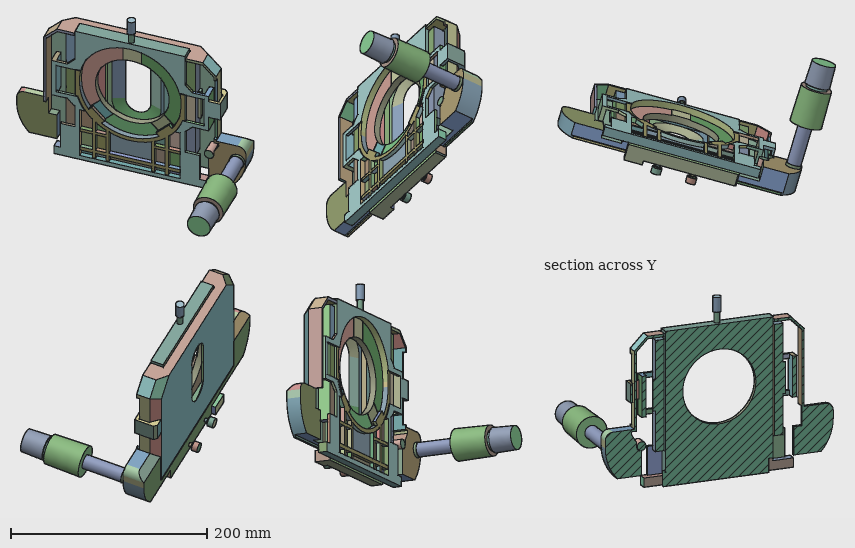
import cadquery as cq
import math


bevel_start = 15.0
body_depth = 24.5
ear_depth = 23.6
floor_depth = 15.8

body_half_width = 93.8
body_top = 65.0
corner_cut = 14.5
side_bevel = 8.0
side_wall = 2.5
top_wall = 3.5
cavity_bottom = -85.0
body_bottom = -87.3
pad_bottom = -78.2
lip_depth = 2.3
right_wall_drop = 3.5
right_wall_drop_top = 45.0
right_wall_drop_bottom = -31.5

ear_half_span = 126.0
ear_top = -33.5
ear_corner_radius = 8.5
ear_arc_radius = 50.7
ear_arc_top = -50.5
ear_bevel = ear_depth - bevel_start
left_ear_front = 7.8
left_ear_inner = -82.0
left_ear_step = -54.0
right_ear_inner = 85.5
notch_width = 5.2
notch_top = -36.5
notch_shoulder = -39.5
notch_bottom = -47.8

guide_outer = 70.5
guide_front = 2.9
guide_top = 59.2
guide_bottom = -61.3
guide_rib_width = 2.9
guide_rib_front = 10.5

carriage_half_width = 59.8
carriage_rise = 2.5
carriage_top = body_top + carriage_rise
carriage_depth = 13.8
carriage_gap = 0.8
flange_depth = guide_front
foot_half_width = 82.5
foot_bottom = -98.5
foot_top = -88.3
foot_depth = 9.4
shoulder_half_width = 75.5
shoulder_top = -57.2

arm_reach = 85.5
arm_half_height = 22.3
arm_gusset = 8.3
leg_width = 5.0
rail_height = 5.2
window_reach = arm_reach - leg_width
window_half_height = arm_half_height - rail_height

bore_radius = 40.0
seat_radius = 55.0
seat_rise = 5.5
seat_depth = 7.0
band_depth = 6.5
band_width = 20.0
band_angles = (0, 135, -135)
tab_reach = 49.4
tabbed_angles = (135, -135)
lip_radius = 59.5
recess_depth = 1.0
tab_depth = 4.7

panel_half_width = 54.5
panel_top = -33.8
panel_bottom = -93.3
pocket_depth = 5.5
centre_pocket_half_width = 23.0
side_columns = [(26.5, 37.7), (41.3, panel_half_width)]
upper_row = (-59.0, panel_top)
middle_row = (-82.5, -62.4)
lower_row = (panel_bottom, -86.8)

channel_half_width = 31.7
channel_half_height = 52.0
channel_depth = 19.5
slot_half_length = 25.7
slot_front_radius = 26.8
slot_back_radius = 13.5

clamp_left = -54.5
clamp_right = 63.0
clamp_front = 11.0
clamp_top = -88.0
clamp_bottom = -100.0
clamp_chamfer = 1.3
clamp_lip = 2.5
clamp_overlap = 2.5
clamp_boss_right = -35.0
clamp_boss_back = 28.0
screw_places = (-19.2, 17.7)
screw_z = -93.3
screw_radius = 5.2
screw_back = 34.5
washer_radius = 3.6
washer_thickness = 1.3
shaft_radius = 2.0

hook_top = 15.8
hook_bottom = -4.7
hook_outer = 98.2
hook_thickness = 2.9
hook_chamfer = 3.5

pin_y = 4.5
pin_radius = 4.5
pin_neck_radius = 3.0
pin_neck_top = 79.2
pin_top = 95.4

stop_x = 85.7
stop_z = -53.0
stop_radius = 5.0
stop_clearance = 0.3

knob_x = 117.0
knob_z = -52.5
collar_radius = 8.0
collar_end = 3.0
rod_radius = 7.5
barrel_start = 46.8
barrel_end = 86.3
barrel_radii = (17.0, 16.0)
neck_radius = 11.2
neck_length = 3.0
grip_start = barrel_end + neck_length
grip_end = 114.0
grip_radii = (13.3, 12.5)


def block(x0, x1, y0, y1, z0, z1):
    return cq.Workplane("XY").box(x1 - x0, y1 - y0, z1 - z0, centered=False).translate((x0, y0, z0))


def face_plane(y):
    """Workplane at depth y whose local axes are X and Z."""
    return cq.Workplane("XZ", origin=(0, y, 0))


def prism(points, y0, y1):
    return face_plane(y0).polyline(points).close().extrude(y0 - y1)


def disc(x, z, radius, y0, y1):
    return face_plane(y0).center(x, z).circle(radius).extrude(y0 - y1)


def mirrored(solid):
    return solid.union(solid.mirror("YZ"))


def outline_points(half_width, top, cut, bottom):
    return [
        (-half_width, bottom),
        (-half_width, top - cut),
        (cut - half_width, top),
        (half_width - cut, top),
        (half_width, top - cut),
        (half_width, bottom),
    ]


def inset_cut(cut, side, top):
    """Corner cut left when sides and corner move in by side and the top moves down by top."""
    return cut + math.sqrt(2) * side - side - top


def body_shell():
    front = prism(outline_points(body_half_width, body_top, corner_cut, body_bottom), 0, bevel_start)
    back_cut = inset_cut(corner_cut, side_bevel, 0)
    back = (
        face_plane(bevel_start)
        .polyline(outline_points(body_half_width, body_top, corner_cut, body_bottom))
        .close()
        .workplane(offset=bevel_start - body_depth)
        .polyline(outline_points(body_half_width - side_bevel, body_top, back_cut, body_bottom))
        .close()
        .loft(ruled=True)
    )
    below_pad = block(-body_half_width, body_half_width, ear_depth, body_depth, body_bottom, pad_bottom)
    lowered_left = block(-body_half_width, 0, 0, left_ear_front, body_bottom, ear_top)
    return front.union(back).cut(below_pad).cut(lowered_left)


def right_ear(y0):
    """Ear with a rounded top corner, a swept lower end and a bevelled back edge."""
    inner = right_ear_inner
    arc_centre = ear_half_span - ear_arc_radius
    diagonal = ear_corner_radius * (1 - math.sqrt(0.5))
    drop = ear_arc_top - body_bottom
    arc_end = arc_centre + math.sqrt(ear_arc_radius**2 - drop**2)
    middle_angle = math.asin(drop / ear_arc_radius) / 2
    ear = (
        face_plane(y0)
        .moveTo(inner, body_bottom)
        .lineTo(inner, ear_top)
        .lineTo(ear_half_span - ear_corner_radius, ear_top)
        .threePointArc(
            (ear_half_span - diagonal, ear_top - diagonal),
            (ear_half_span, ear_top - ear_corner_radius),
        )
        .lineTo(ear_half_span, ear_arc_top)
        .threePointArc(
            (
                arc_centre + ear_arc_radius * math.cos(middle_angle),
                ear_arc_top - ear_arc_radius * math.sin(middle_angle),
            ),
            (arc_end, body_bottom),
        )
        .close()
        .extrude(y0 - ear_depth)
    )
    bevel = (
        cq.Workplane("YZ", origin=(inner, 0, 0))
        .polyline([
            (ear_depth - ear_bevel, ear_top),
            (ear_depth, ear_top),
            (ear_depth, ear_top - ear_bevel),
        ])
        .close()
        .extrude(ear_half_span - inner)
    )
    return ear.cut(bevel)


def cavity():
    """Front opening of the body: the walls remain around it and it is open at the bottom."""
    half = body_half_width - side_wall
    top = body_top - top_wall
    cut = inset_cut(corner_cut, side_wall, top_wall)
    corners = outline_points(half, top, cut, cavity_bottom)
    left_edge = [(left_ear_inner, body_bottom), (left_ear_inner, left_ear_step), (-half, left_ear_step)]
    right_edge = [
        (half, notch_top),
        (half + notch_width, notch_top),
        (half + notch_width, notch_shoulder),
        (half, notch_bottom),
        (half, stop_z),
        (right_ear_inner, stop_z),
        (right_ear_inner, body_bottom),
    ]
    opening = prism(left_edge + corners[1:5] + right_edge, 0, floor_depth)
    return opening.union(disc(stop_x, stop_z, stop_radius + stop_clearance, 0, floor_depth))


def body():
    solid = body_shell().union(right_ear(0)).union(right_ear(left_ear_front).mirror("YZ"))
    solid = solid.cut(cavity())
    under = block(-ear_half_span, ear_half_span, 0, ear_depth - lip_depth, body_bottom, cavity_bottom)
    solid = solid.cut(under)
    wall_inner = body_half_width - side_wall
    solid = solid.cut(block(wall_inner, body_half_width, 0, right_wall_drop,
                            right_wall_drop_bottom, right_wall_drop_top))
    inner = carriage_half_width + carriage_gap
    solid = solid.cut(block(-inner, inner, 0, carriage_depth + carriage_gap, guide_top, body_top))
    solid = solid.union(block(-inner, inner, carriage_depth, floor_depth, cavity_bottom, guide_top))
    guide = block(inner, guide_outer, guide_front, floor_depth, guide_bottom, guide_top)
    rib = block(guide_outer, guide_outer + guide_rib_width, guide_rib_front, floor_depth,
                -window_half_height, window_half_height)
    solid = solid.union(mirrored(guide.union(rib)))
    return solid.union(disc(stop_x, stop_z, stop_radius, 0, floor_depth))


def light_opening():
    channel = block(-channel_half_width, channel_half_width, carriage_depth, channel_depth,
                    -channel_half_height, channel_half_height)
    slot = (
        face_plane(channel_depth)
        .slot2D(2 * (slot_half_length + slot_front_radius), 2 * slot_front_radius, 90)
        .workplane(offset=channel_depth - body_depth)
        .slot2D(2 * (slot_half_length + slot_back_radius), 2 * slot_back_radius, 90)
        .loft(ruled=True)
    )
    return channel.union(slot)


def right_arm():
    """Thin window frame on a deep end leg, with gussets back to the carriage."""
    frame = prism(
        [
            (0, arm_half_height + arm_gusset),
            (carriage_half_width, arm_half_height + arm_gusset),
            (carriage_half_width + arm_gusset, arm_half_height),
            (arm_reach, arm_half_height),
            (arm_reach, -arm_half_height),
            (carriage_half_width + arm_gusset, -arm_half_height),
            (carriage_half_width, -arm_half_height - arm_gusset),
            (0, -arm_half_height - arm_gusset),
        ],
        0,
        flange_depth,
    )
    window = block(carriage_half_width, window_reach, 0, flange_depth,
                   -window_half_height, window_half_height)
    leg = block(window_reach, arm_reach, 0, floor_depth, -arm_half_height, arm_half_height)
    return frame.cut(window).union(leg)


def ring_seat():
    """Seat around the bore with three raised radial bands, two of them under a tab."""
    seat = (
        disc(0, 0, seat_radius, 0, seat_depth)
        .union(disc(0, seat_rise, seat_radius, 0, seat_depth))
        .union(block(-seat_radius, seat_radius, 0, seat_depth, 0, seat_rise))
    )
    half = band_width / 2
    for angle in band_angles:
        land = block(-half, half, band_depth, seat_depth, 0, seat_radius + seat_rise)
        seat = seat.cut(land.rotate((0, 0, 0), (0, 1, 0), angle))
    for angle in tabbed_angles:
        tab = block(-half, half, recess_depth, tab_depth, tab_reach, lip_radius)
        seat = seat.cut(tab.rotate((0, 0, 0), (0, 1, 0), angle))
    return seat


def panel_recess():
    lip = disc(0, 0, lip_radius, 0, recess_depth).intersect(
        block(-lip_radius, lip_radius, 0, recess_depth, -lip_radius, -window_half_height)
    )
    panel = block(-panel_half_width, panel_half_width, 0, recess_depth, panel_bottom, panel_top)
    return lip.union(panel)


def panel_pockets():
    """Side pockets in mirrored columns of three rows, and two wide pockets in the centre."""
    pockets = cq.Workplane("XY")
    for x0, x1 in side_columns:
        for z0, z1 in (upper_row, middle_row, lower_row):
            pockets = pockets.union(mirrored(block(x0, x1, 0, pocket_depth, z0, z1)))
    for z0, z1 in ((middle_row[0], panel_top), lower_row):
        wide = block(-centre_pocket_half_width, centre_pocket_half_width, 0, pocket_depth, z0, z1)
        pockets = pockets.union(wide)
    return pockets.cut(disc(0, 0, lip_radius, 0, pocket_depth))


def carriage():
    solid = block(-carriage_half_width, carriage_half_width, 0, carriage_depth, cavity_bottom, carriage_top)
    solid = solid.union(block(-carriage_half_width, carriage_half_width, 0, foot_depth,
                              foot_top, cavity_bottom))
    solid = solid.union(block(-foot_half_width, foot_half_width, 0, foot_depth, foot_bottom, foot_top))
    solid = solid.union(block(-shoulder_half_width, shoulder_half_width, 0, flange_depth,
                              foot_top, shoulder_top))
    solid = solid.union(mirrored(right_arm()))
    solid = solid.cut(block(-window_reach, window_reach, 0, recess_depth,
                            -window_half_height, window_half_height))
    solid = solid.cut(panel_recess()).cut(panel_pockets()).cut(ring_seat())
    return solid.cut(disc(0, 0, bore_radius, 0, carriage_depth))


def hook():
    """Strap that crosses the lowered right wall and bends behind the body bevel."""
    inner = hook_outer - hook_thickness
    profile = [
        (window_reach, 0),
        (hook_outer, 0),
        (hook_outer, body_depth - hook_chamfer),
        (hook_outer - hook_chamfer, body_depth),
        (inner - (body_depth - bevel_start), body_depth),
        (inner, bevel_start),
        (inner, right_wall_drop),
        (window_reach, right_wall_drop),
    ]
    strap = cq.Workplane("XY", origin=(0, 0, hook_bottom)).polyline(profile).close()
    return strap.extrude(hook_top - hook_bottom)


def clamp():
    bar = block(clamp_left, clamp_right, clamp_front, ear_depth, clamp_bottom, clamp_top)
    bar = bar.edges(">X and <Z").chamfer(clamp_chamfer)
    boss = block(clamp_left, clamp_boss_right, clamp_front, clamp_boss_back, clamp_bottom, clamp_top)
    front_lip = block(clamp_left, clamp_right, clamp_front, clamp_front + clamp_lip,
                      clamp_top, cavity_bottom + clamp_overlap)
    back_lip = block(clamp_left, clamp_right, ear_depth - lip_depth, ear_depth, clamp_top, cavity_bottom)
    solid = bar.union(boss).union(front_lip).union(back_lip)
    washer_front = clamp_boss_back - washer_thickness
    for x in screw_places:
        solid = solid.union(disc(x, screw_z, screw_radius, clamp_boss_back, screw_back))
        solid = solid.union(disc(x, screw_z, washer_radius, washer_front, clamp_boss_back))
        solid = solid.union(disc(x, screw_z, shaft_radius, ear_depth, clamp_boss_back))
    return solid


def upright_pin():
    length = pin_neck_top - carriage_top
    base = cq.Workplane("XY", origin=(0, pin_y, carriage_top))
    neck = base.circle(pin_neck_radius).extrude(length)
    head = base.workplane(offset=length).circle(pin_radius).extrude(pin_top - pin_neck_top)
    return neck.union(head)


def knob():
    """Turned shape: radius against distance out from the ear face."""
    profile = [
        (0, 0),
        (collar_radius, 0),
        (collar_radius, -collar_end),
        (rod_radius, -collar_end),
        (rod_radius, -barrel_start),
        (barrel_radii[0], -barrel_start),
        (barrel_radii[1], -barrel_end),
        (neck_radius, -barrel_end),
        (neck_radius, -grip_start),
        (grip_radii[0], -grip_start),
        (grip_radii[1], -grip_end),
        (0, -grip_end),
    ]
    turned = cq.Workplane("XY").polyline(profile).close().revolve(360, (0, 0, 0), (0, 1, 0))
    return turned.translate((knob_x, 0, knob_z))


result = body().cut(light_opening()).union(carriage()).union(hook()).union(clamp())
result = result.union(upright_pin()).union(knob())